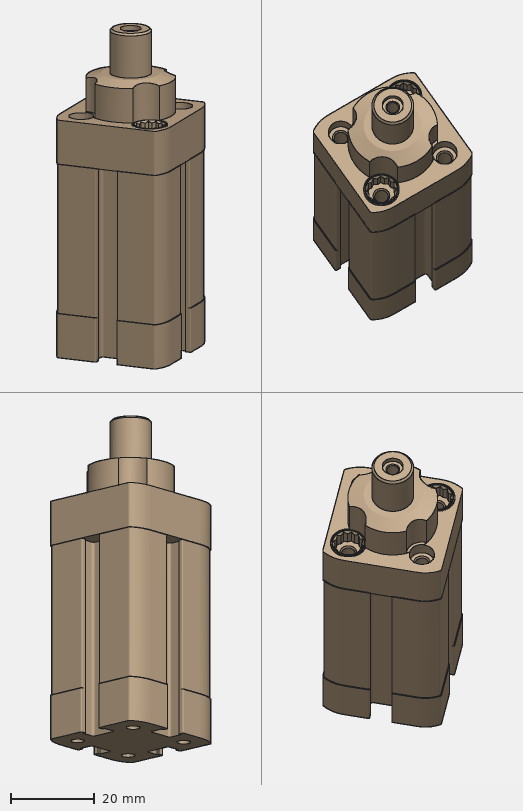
import cadquery as cq
import math


total_height = 79.5
cap_height = 11.0
head_height = 11.0
barrel_top = 48.0
head_top = barrel_top + head_height
boss_top = 68.5
boss_cone_height = 1.0

head_width = 29.0
barrel_width = 28.55
side_flat_half = 9.0
corner_arc_radius = 9.55
corner_edge_radius = 0.7

slot_neck_half = 2.7
slot_cavity_half = 3.4
slot_mouth_radius = 0.3
slot_floor_radius = 0.7
slot_neck_depth = 1.4
slot_depth = 5.0

boss_diameter = 21.5
boss_top_diameter = 13.8
notch_diameter = 7.5
notch_floor_rise = 0.15

hole_offset = 9.0
hole_diameter = 3.25
hole_chamfer_diameter = 4.0
counterbore_diameter = 6.0
counterbore_depth = 3.0
groove_diameter = 8.5
socket_rim_diameter = 7.9
socket_mouth_diameter = 7.55
socket_tip_diameter = 7.15
socket_root_diameter = 6.35
socket_points = 12
socket_depth = 3.65
plain_corners = [(-hole_offset, -hole_offset), (hole_offset, hole_offset)]
socket_corners = [(-hole_offset, hole_offset), (hole_offset, -hole_offset)]

rod_diameter = 10.0
rod_tip_diameter = 9.0
rod_recess_diameter = 5.0
rod_recess_depth = 1.2
rod_bore_diameter = 2.8
rod_bore_mouth_diameter = 3.25
rod_bore_depth = 7.95
rod_bore_cone_angle = 30.0


def cylinder(diameter, bottom, top, center=(0, 0)):
    """Upright cylinder between two heights."""
    return cq.Workplane("XY", origin=(*center, bottom)).circle(diameter / 2).extrude(top - bottom)


def cone(bottom_diameter, top_diameter, bottom, top, center=(0, 0)):
    """Upright cone or truncated cone between two heights."""
    solid = cq.Solid.makeCone(
        bottom_diameter / 2, top_diameter / 2, top - bottom, pnt=cq.Vector(*center, bottom)
    )
    return cq.Workplane(obj=solid)


def bore_chamfer(hole, mouth, top, center=(0, 0)):
    """45 degree cone that widens a hole up to its mouth diameter at the given height."""
    return cone(hole, mouth, top - (mouth - hole) / 2, top, center)


def outer_block(width, bottom, top):
    """Square block with bulging X sides and lightly rounded corners."""
    half = width / 2
    arc_rise = half - side_flat_half
    arc_inset = corner_arc_radius - math.sqrt(corner_arc_radius**2 - arc_rise**2)
    corner = half - arc_inset
    block = (
        cq.Workplane("XY", origin=(0, 0, bottom))
        .moveTo(half, -side_flat_half)
        .lineTo(half, side_flat_half)
        .radiusArc((corner, half), -corner_arc_radius)
        .lineTo(-corner, half)
        .radiusArc((-half, side_flat_half), -corner_arc_radius)
        .lineTo(-half, -side_flat_half)
        .radiusArc((-corner, -half), -corner_arc_radius)
        .lineTo(corner, -half)
        .radiusArc((half, -side_flat_half), -corner_arc_radius)
        .close()
        .extrude(top - bottom)
    )
    return block.faces(">Y or <Y").edges("|Z").fillet(corner_edge_radius)


def slot_cutter(width, bottom, top):
    """T-slot opening to +X, with a rounded mouth at the face of a block of this width."""
    face = width / 2
    neck_end = head_width / 2 - slot_neck_depth
    floor = head_width / 2 - slot_depth
    mouth_half = slot_neck_half + slot_mouth_radius
    mouth_end = face - slot_mouth_radius
    neck = (
        cq.Workplane("XY", origin=(0, 0, bottom))
        .moveTo(face, -mouth_half)
        .lineTo(face, mouth_half)
        .radiusArc((mouth_end, slot_neck_half), slot_mouth_radius)
        .lineTo(neck_end, slot_neck_half)
        .lineTo(neck_end, -slot_neck_half)
        .lineTo(mouth_end, -slot_neck_half)
        .radiusArc((face, -mouth_half), slot_mouth_radius)
        .close()
        .extrude(top - bottom)
    )
    cavity = (
        cq.Workplane("XY", origin=((floor + neck_end) / 2, 0, bottom))
        .rect(neck_end - floor, 2 * slot_cavity_half)
        .extrude(top - bottom)
        .faces("<X").edges("|Z").fillet(slot_floor_radius)
    )
    return neck.union(cavity)


def slotted_block(width, bottom, top):
    """Outer block with one T-slot in each of its four sides."""
    block = outer_block(width, bottom, top)
    cutter = slot_cutter(width, bottom, top)
    for side in range(4):
        block = block.cut(cutter.rotate((0, 0, 0), (0, 0, 1), 90 * side))
    return block


def make_barrel():
    """Barrel and its wide end cap, with the four mounting holes running through."""
    barrel = slotted_block(head_width, 0, cap_height)
    barrel = barrel.union(slotted_block(barrel_width, cap_height, barrel_top))
    for corner in plain_corners + socket_corners:
        barrel = barrel.cut(cylinder(hole_diameter, 0, barrel_top, corner))
    return barrel


def star_socket(corner):
    """Star-shaped socket with a conical lead-in at the head face."""
    points = []
    for i in range(2 * socket_points):
        radius = (socket_tip_diameter if i % 2 == 0 else socket_root_diameter) / 2
        angle = math.pi * i / socket_points
        points.append((radius * math.cos(angle), radius * math.sin(angle)))
    star = (
        cq.Workplane("XY", origin=(*corner, head_top - socket_depth))
        .polyline(points).close()
        .extrude(socket_depth)
    )
    lead_in = bore_chamfer(socket_root_diameter, socket_mouth_diameter, head_top, corner)
    return star.union(lead_in)


def socket_groove(corner):
    """Ring groove with a vertical outer wall and a 45 degree slope up to the socket rim."""
    bottom = head_top - (groove_diameter - socket_rim_diameter) / 2
    ring = cylinder(groove_diameter, bottom, head_top, corner)
    return ring.cut(cone(groove_diameter, socket_rim_diameter, bottom, head_top, corner))


def make_head():
    """Front head with its boss, mounting holes, star sockets and rod bore."""
    cone_bottom = boss_top - boss_cone_height
    boss = cylinder(boss_diameter, head_top, cone_bottom)
    boss = boss.union(cone(boss_diameter, boss_top_diameter, cone_bottom, boss_top))
    for corner in plain_corners:
        notch_floor = head_top + notch_floor_rise
        boss = boss.cut(cylinder(notch_diameter, notch_floor, boss_top, corner))
        boss = boss.cut(cylinder(counterbore_diameter, head_top, boss_top, corner))
    for corner in socket_corners:
        boss = boss.cut(cylinder(groove_diameter, head_top, boss_top, corner))

    head = outer_block(head_width, barrel_top, head_top).union(boss)
    for corner in plain_corners:
        floor = head_top - counterbore_depth
        head = head.cut(cylinder(counterbore_diameter, floor, head_top, corner))
        head = head.cut(bore_chamfer(hole_diameter, hole_chamfer_diameter, floor, corner))
    for corner in socket_corners:
        floor = head_top - socket_depth
        head = head.cut(socket_groove(corner))
        head = head.cut(star_socket(corner))
        head = head.cut(bore_chamfer(hole_diameter, hole_chamfer_diameter, floor, corner))
    for corner in plain_corners + socket_corners:
        head = head.cut(cylinder(hole_diameter, barrel_top, head_top, corner))
    return head.cut(cylinder(rod_diameter, barrel_top, boss_top))


def make_rod():
    """Piston rod filling the head bore, with a stepped centre hole in its tip."""
    tip_chamfer = (rod_diameter - rod_tip_diameter) / 2
    rod = cylinder(rod_diameter, barrel_top, total_height).faces(">Z").chamfer(tip_chamfer)
    recess_floor = total_height - rod_recess_depth
    bore_bottom = total_height - rod_bore_depth
    bore_tip = bore_bottom - rod_bore_diameter / 2 * math.tan(math.radians(rod_bore_cone_angle))
    rod = rod.cut(cylinder(rod_recess_diameter, recess_floor, total_height))
    rod = rod.cut(bore_chamfer(rod_bore_diameter, rod_bore_mouth_diameter, recess_floor))
    rod = rod.cut(cylinder(rod_bore_diameter, bore_bottom, recess_floor))
    return rod.cut(cone(0, rod_bore_diameter, bore_tip, bore_bottom))


barrel = make_barrel()
head = make_head()
rod = make_rod()

result = cq.Compound.makeCompound([barrel.val(), head.val(), rod.val()])